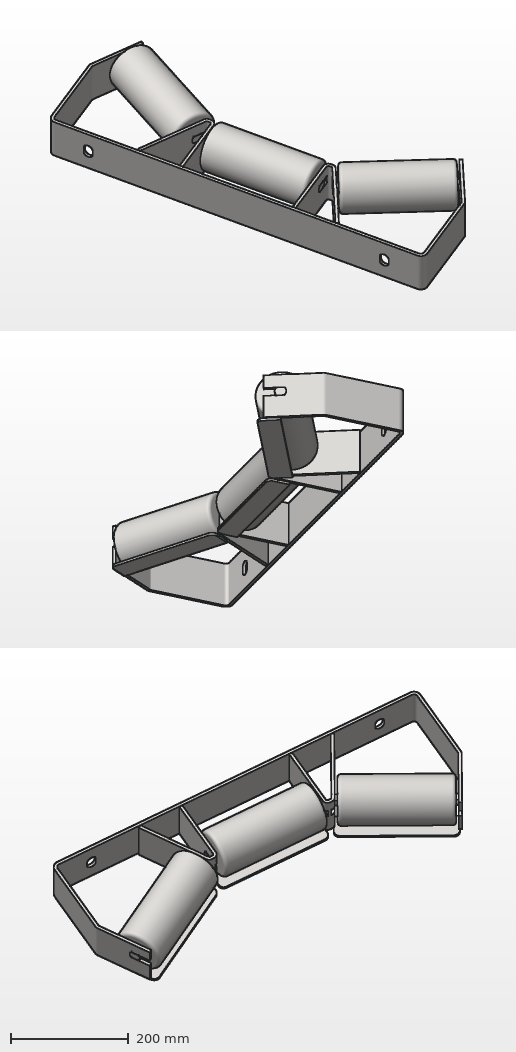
import cadquery as cq
import math

frame_length = 720.0
frame_height = 80.0
sheet = 6.0
corner_radius = 9.0
bend_radius = 6.5
arm_reach = 29.0

hole_spacing = 567.0
hole_width = 17.0
hole_height = 26.0

bracket_top = 128.0

roller_diameter = 88.5
roller_length = 201.5
roller_edge_radius = 6.5
roller_height = 48.0
support_gap = 210.0
middle_roller_y = 101.0
side_roller_x = 226.0
side_roller_y = 161.0
trough_angle = 30.0

shaft_diameter = 20.0
shaft_flats = 15.0

plate_length = 214.5
plate_width = 40.0
plate_thickness = 4.7
plate_corner_radius = 10.0

support_offset = (support_gap + sheet) / 2
shaft_length = support_gap + 2 * sheet
side_x = frame_length / 2 - sheet / 2

left_station = (-side_roller_x, side_roller_y, -trough_angle)
middle_station = (0.0, middle_roller_y, 0.0)
right_station = (side_roller_x, side_roller_y, trough_angle)
stations = [left_station, middle_station, right_station]


def place(body, station):
    """Move a body from the origin, where its roller axis is X, to a station."""
    x, y, turn = station
    return body.rotate((0, 0, 0), (0, 0, 1), turn).translate((x, y, 0))


def left_station_point(along, across):
    """Point of the left station, along its roller axis and across it."""
    turn = math.radians(-trough_angle)
    x = -side_roller_x + along * math.cos(turn) - across * math.sin(turn)
    y = side_roller_y + along * math.sin(turn) + across * math.cos(turn)
    return cq.Vector(x, y)


def left_support_across_at_x(along, x):
    """Place across the left roller axis where a support line reaches X = x."""
    return (x - left_station_point(along, 0).x) / math.sin(math.radians(trough_angle))


def left_support_across_at_y(along, y):
    """Place across the left roller axis where a support line reaches Y = y."""
    return (y - left_station_point(along, 0).y) / math.cos(math.radians(trough_angle))


def bent_sheet(path, radii):
    """Upright sheet along a path of mid-sheet points, with one radius per bend."""
    vectors = [cq.Vector(point) for point in path]
    edges = []
    ends = []
    for side in (sheet / 2, -sheet / 2):
        first = (vectors[1] - vectors[0]).normalized()
        position = vectors[0] + cq.Vector(-first.y, first.x) * side
        side_start = position
        for before, bend, after, radius in zip(vectors, vectors[1:], vectors[2:], radii):
            arriving = (bend - before).normalized()
            leaving = (after - bend).normalized()
            left_turn = math.copysign(1, arriving.cross(leaving).z)
            half_turn = arriving.getAngle(leaving) / 2
            to_centre = (leaving - arriving).normalized()
            centre = bend + to_centre * (radius / math.cos(half_turn))
            side_radius = radius - left_turn * side
            arc_start = centre + cq.Vector(arriving.y, -arriving.x) * (left_turn * side_radius)
            arc_middle = centre - to_centre * side_radius
            arc_end = centre + cq.Vector(leaving.y, -leaving.x) * (left_turn * side_radius)
            edges.append(cq.Edge.makeLine(position, arc_start))
            edges.append(cq.Edge.makeThreePointArc(arc_start, arc_middle, arc_end))
            position = arc_end
        last = (vectors[-1] - vectors[-2]).normalized()
        side_end = vectors[-1] + cq.Vector(-last.y, last.x) * side
        edges.append(cq.Edge.makeLine(position, side_end))
        ends.append((side_start, side_end))
    (left_start, left_end), (right_start, right_end) = ends
    edges.append(cq.Edge.makeLine(left_start, right_start))
    edges.append(cq.Edge.makeLine(left_end, right_end))
    outline = cq.Wire.combine(edges)[0]
    return cq.Workplane(cq.Solid.extrudeLinear(outline, [], cq.Vector(0, 0, frame_height)))


def flatted_shaft():
    """Round shaft along X with a flat above and below."""
    shaft = (
        cq.Workplane("YZ", origin=(-shaft_length / 2, 0, 0))
        .circle(shaft_diameter / 2)
        .extrude(shaft_length)
    )
    flats = cq.Workplane().box(shaft_length, shaft_diameter, shaft_flats)
    return shaft.intersect(flats).translate((0, 0, roller_height))


def shaft_slots(station):
    """Cutter for the slots of one station, round at the shaft and open toward +Y."""
    slot_length = 2 * arm_reach
    opening = (
        cq.Workplane()
        .box(shaft_length, slot_length, shaft_flats)
        .translate((0, slot_length / 2, roller_height))
    )
    return place(flatted_shaft().union(opening), station)


def make_frame():
    """Bent strip with a long back, two ends and two arms for the side rollers."""
    kink = left_station_point(-support_offset, left_support_across_at_x(-support_offset, -side_x))
    tip = left_station_point(-support_offset, arm_reach)
    left_half = [(tip.x, tip.y), (kink.x, kink.y), (-side_x, sheet / 2)]
    right_half = [(-x, y) for x, y in reversed(left_half)]
    radii = [bend_radius, corner_radius, corner_radius, bend_radius]
    frame = bent_sheet(left_half + right_half, radii)

    holes = (
        cq.Workplane("XZ")
        .pushPoints([(-hole_spacing / 2, frame_height / 2), (hole_spacing / 2, frame_height / 2)])
        .slot2D(hole_height, hole_width, 90)
        .extrude(-sheet)
    )
    frame = frame.cut(holes)
    for station in (left_station, right_station):
        frame = frame.cut(shaft_slots(station))
    return frame


def make_left_bracket():
    """Bent strip between the left and the middle roller, standing on the frame."""
    top = bracket_top - sheet / 2
    foot_y = sheet + sheet / 2 * math.sin(math.radians(trough_angle))
    foot = left_station_point(support_offset, left_support_across_at_y(support_offset, foot_y))
    slant_top = left_station_point(support_offset, left_support_across_at_y(support_offset, top))
    path = [
        (foot.x, foot.y),
        (slant_top.x, slant_top.y),
        (-support_offset, top),
        (-support_offset, sheet),
    ]
    bracket = bent_sheet(path, [bend_radius, bend_radius])
    for station in (left_station, middle_station):
        bracket = bracket.cut(shaft_slots(station))
    return bracket


def make_roller(station):
    """Roller with rounded edges and its shaft ends, in one piece."""
    barrel = (
        cq.Workplane("YZ")
        .circle(roller_diameter / 2)
        .extrude(roller_length)
        .edges("%CIRCLE")
        .fillet(roller_edge_radius)
        .translate((-roller_length / 2, 0, roller_height))
    )
    return place(barrel.union(flatted_shaft()), station)


def make_plate(station):
    """Flat plate under the +Y half of a roller, against the bottom of the supports."""
    plate = (
        cq.Workplane()
        .box(plate_length, plate_width, plate_thickness)
        .translate((0, plate_width / 2, -plate_thickness / 2))
        .edges("|Z and >Y")
        .fillet(plate_corner_radius)
    )
    return place(plate, station)


frame = make_frame()
left_bracket = make_left_bracket()
right_bracket = left_bracket.mirror("YZ")
rollers = [make_roller(station) for station in stations]
plates = [make_plate(station) for station in stations]

result = cq.Compound.makeCompound(
    [
        frame.val(),
        left_bracket.val(),
        right_bracket.val(),
        *[roller.val() for roller in rollers],
        *[plate.val() for plate in plates],
    ]
)